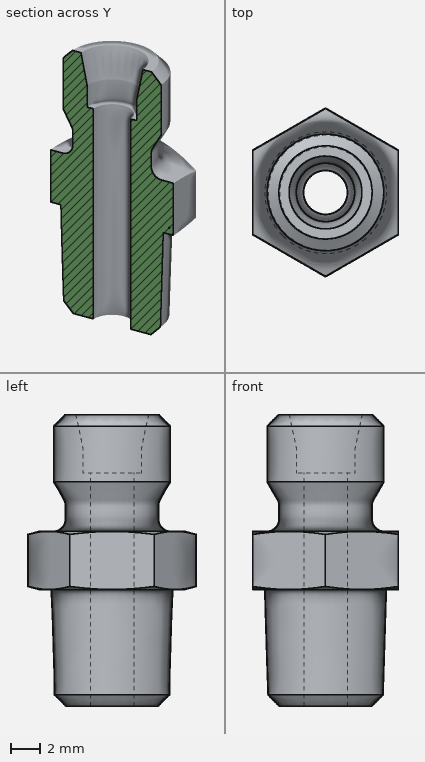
import cadquery as cq
import math


total_height = 20.0
stud_length = 8.0
hex_height = 4.0
hex_top = stud_length + hex_height
edge_chamfer = 0.8

gauge_diameter = 8.0
gauge_height = 2.5
taper_ratio = 1 / 16

across_flats = 10.0
across_corners = across_flats / math.cos(math.radians(30))
hex_face_diameter = 9.9
hex_chamfer_angle = 15.0

thread_diameter = 8.0
neck_diameter = 6.4
neck_length = 2.0
runout_angle = 30.0
neck_fillet = 0.8

through_diameter = 3.0
tube_diameter = 4.0
tube_seat_depth = 4.0
cone_mouth_diameter = 5.0
cone_half_angle = 12.0


def revolve_profile(profile):
    """Revolve a closed (radius, Z) profile about the Z axis."""
    return profile.close().revolve(360, (0, 0, 0), (0, 1, 0))


def stud_radius(z):
    return gauge_diameter / 2 + (z - gauge_height) * taper_ratio / 2


def make_stud():
    tip_radius = stud_radius(edge_chamfer)
    profile = (
        cq.Workplane("XZ")
        .lineTo(tip_radius - edge_chamfer, 0)
        .lineTo(tip_radius, edge_chamfer)
        .lineTo(stud_radius(stud_length), stud_length)
        .lineTo(0, stud_length)
    )
    return revolve_profile(profile)


def make_hexagon():
    """Hexagon with corners on the Y axis, its corners turned off at both faces."""
    prism = (
        cq.Workplane("XY", origin=(0, 0, stud_length))
        .polygon(6, across_corners)
        .extrude(hex_height)
        .rotate((0, 0, 0), (0, 0, 1), 30)
    )
    face_radius = hex_face_diameter / 2
    corner_radius = across_corners / 2
    corner_drop = (corner_radius - face_radius) * math.tan(math.radians(hex_chamfer_angle))
    turned_profile = (
        cq.Workplane("XZ", origin=(0, 0, stud_length))
        .lineTo(face_radius, 0)
        .lineTo(corner_radius, corner_drop)
        .lineTo(corner_radius, hex_height - corner_drop)
        .lineTo(face_radius, hex_height)
        .lineTo(0, hex_height)
    )
    return prism.intersect(revolve_profile(turned_profile))


def make_tube_end():
    thread_radius = thread_diameter / 2
    neck_radius = neck_diameter / 2
    neck_top = hex_top + neck_length
    angle = math.radians(runout_angle)
    runout_height = (thread_radius - neck_radius) / math.tan(angle)

    tangent_length = neck_fillet * math.tan(angle / 2)
    blend_start = neck_top - tangent_length
    blend_middle = (
        neck_radius + neck_fillet * (1 - math.cos(angle / 2)),
        blend_start + neck_fillet * math.sin(angle / 2),
    )
    blend_end = (
        neck_radius + tangent_length * math.sin(angle),
        neck_top + tangent_length * math.cos(angle),
    )

    round_start = (neck_radius + neck_fillet, hex_top)
    round_end = (neck_radius, hex_top + neck_fillet)
    round_inset = neck_fillet * (1 - math.sqrt(0.5))
    round_middle = (neck_radius + round_inset, hex_top + round_inset)

    profile = (
        cq.Workplane("XZ")
        .moveTo(0, hex_top)
        .lineTo(*round_start)
        .threePointArc(round_middle, round_end)
        .lineTo(neck_radius, blend_start)
        .threePointArc(blend_middle, blend_end)
        .lineTo(thread_radius, neck_top + runout_height)
        .lineTo(thread_radius, total_height - edge_chamfer)
        .lineTo(thread_radius - edge_chamfer, total_height)
        .lineTo(0, total_height)
    )
    return revolve_profile(profile)


def make_bore():
    """Through hole, tube seat and sealing cone as one cutting body."""
    through_radius = through_diameter / 2
    tube_radius = tube_diameter / 2
    mouth_radius = cone_mouth_diameter / 2
    cone_depth = (mouth_radius - tube_radius) / math.tan(math.radians(cone_half_angle))
    seat_height = total_height - tube_seat_depth
    profile = (
        cq.Workplane("XZ")
        .lineTo(through_radius, 0)
        .lineTo(through_radius, seat_height)
        .lineTo(tube_radius, seat_height)
        .lineTo(tube_radius, total_height - cone_depth)
        .lineTo(mouth_radius, total_height)
        .lineTo(0, total_height)
    )
    return revolve_profile(profile)


result = make_stud().union(make_hexagon()).union(make_tube_end()).cut(make_bore())